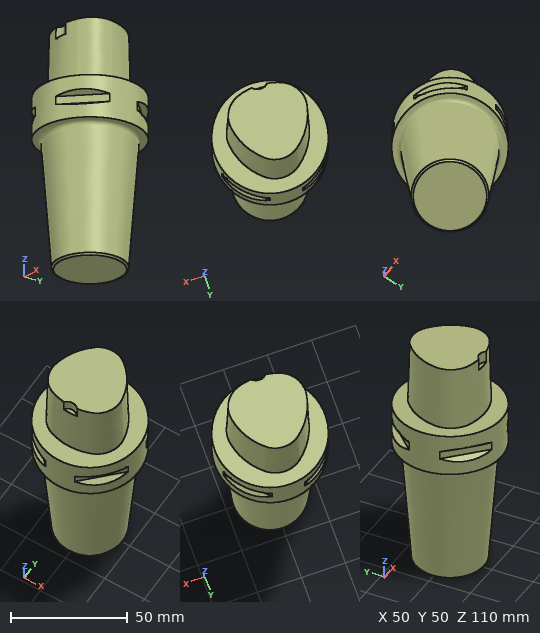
import cadquery as cq
import math

total_height = 110.0
shank_height = 29.9
collar_bottom_z = 60.4
collar_top_z = total_height - shank_height

collar_radius = 50.0 / 2
neck_radius = 41.9 / 2
neck_bottom_z = 57.0
neck_fillet = 2.0
nose_end_radius = 16.6
nose_chamfer = 0.9

groove_count = 4
groove_first_angle = 45.0
groove_z = 70.1
groove_floor_distance = 22.1
groove_floor_width = 3.6
groove_flare_angle = 30.0

lobe_reach = 18.0
flank_reach = 15.8
lobe_radius = 11.5
shank_taper = 1 / 40

notch_radius = 4.4
notch_inner_distance = 14.1
notch_height = 5.4


def polar(radius, degrees):
    angle = math.radians(degrees)
    return (radius * math.cos(angle), radius * math.sin(angle))


def make_body():
    """Revolved nose, neck fillet and collar."""
    arc_offset = neck_fillet * (1 - math.sqrt(0.5))
    fillet_middle = (neck_radius + arc_offset, collar_bottom_z - arc_offset)
    return (
        cq.Workplane("XZ")
        .lineTo(nose_end_radius - nose_chamfer, 0)
        .lineTo(nose_end_radius, nose_chamfer)
        .lineTo(neck_radius, neck_bottom_z)
        .lineTo(neck_radius, collar_bottom_z - neck_fillet)
        .threePointArc(fillet_middle, (neck_radius + neck_fillet, collar_bottom_z))
        .lineTo(collar_radius, collar_bottom_z)
        .lineTo(collar_radius, collar_top_z)
        .lineTo(0, collar_top_z)
        .close()
        .revolve(360, (0, 0), (0, 1))
    )


def make_shank():
    """Tapered shank whose outline is three lobe arcs tangent to three flank arcs."""
    growth = shank_height * shank_taper
    base_lobe_radius = lobe_radius + growth
    base_lobe_reach = lobe_reach + growth
    base_flank_reach = flank_reach + growth

    lobe_center = base_lobe_reach - base_lobe_radius
    reach_gap = base_flank_reach - base_lobe_radius
    flank_center = (lobe_center**2 - reach_gap**2) / (2 * reach_gap - lobe_center)
    flank_radius = base_flank_reach + flank_center

    center_x, center_y = polar(flank_center, -30)
    direction = math.atan2(lobe_center - center_y, -center_x)
    tangent_x = center_x + flank_radius * math.cos(direction)
    tangent_y = center_y + flank_radius * math.sin(direction)
    tangent_distance = math.hypot(tangent_x, tangent_y)
    tangent_angle = math.degrees(math.atan2(tangent_y, tangent_x))
    half_lobe_angle = tangent_angle - 90

    outline = cq.Workplane("XY", origin=(0, 0, collar_top_z))
    outline = outline.moveTo(*polar(tangent_distance, 90 - half_lobe_angle))
    for lobe_angle in (90, 210, 330):
        lobe_end = polar(tangent_distance, lobe_angle + half_lobe_angle)
        flank_end = polar(tangent_distance, lobe_angle + 120 - half_lobe_angle)
        outline = outline.threePointArc(polar(base_lobe_reach, lobe_angle), lobe_end)
        outline = outline.threePointArc(polar(base_flank_reach, lobe_angle + 60), flank_end)
    taper_angle = math.degrees(math.atan(shank_taper))
    return outline.close().extrude(shank_height, taper=taper_angle)


def make_notch():
    """Upright round cutter that clips the top of the front flank."""
    center_y = -(notch_inner_distance + notch_radius)
    return (
        cq.Workplane("XY", origin=(0, center_y, total_height - notch_height))
        .circle(notch_radius)
        .extrude(notch_height)
    )


def make_groove(angle):
    """Trapezoidal bar crossing the collar rim at the given angle."""
    rim_depth = collar_radius - groove_floor_distance
    floor_half = groove_floor_width / 2
    rim_half = floor_half + rim_depth * math.tan(math.radians(groove_flare_angle))
    return (
        cq.Workplane("XZ")
        .polyline([
            (groove_floor_distance, groove_z - floor_half),
            (collar_radius, groove_z - rim_half),
            (collar_radius, groove_z + rim_half),
            (groove_floor_distance, groove_z + floor_half),
        ])
        .close()
        .extrude(collar_radius, both=True)
        .rotate((0, 0, 0), (0, 0, 1), angle)
    )


result = make_body().union(make_shank()).cut(make_notch())
for index in range(groove_count):
    result = result.cut(make_groove(groove_first_angle + index * 360 / groove_count))